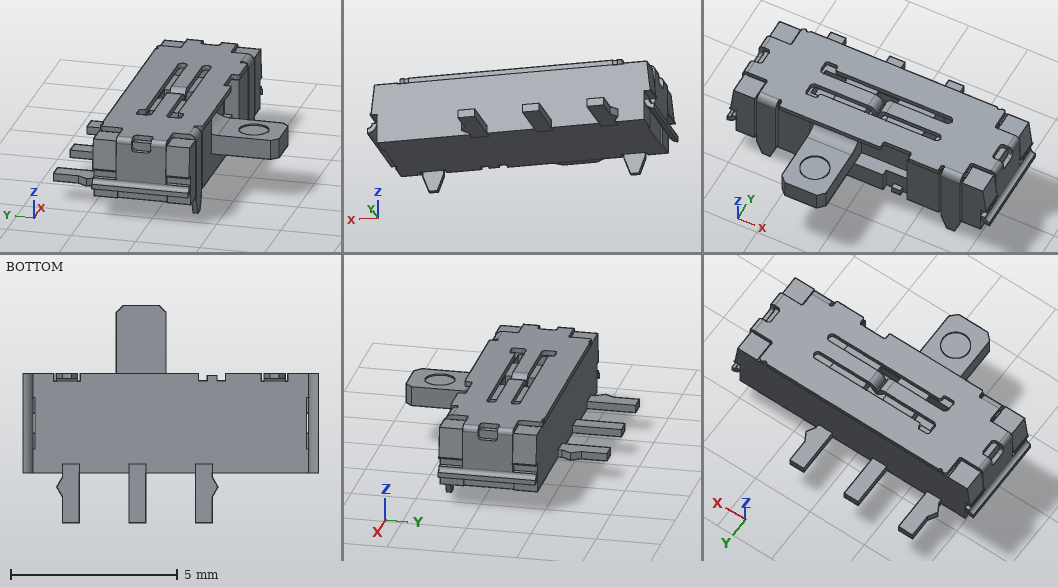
import cadquery as cq
import math


half_length = 4.45
half_depth = 3.0 / 2
cover_top = 1.99
sheet = 0.15
housing_top = cover_top - sheet

end_inner_x = half_length - 2 * sheet
end_outer_x = end_inner_x + sheet
arm_half_y = 0.77
plate_half_x = 3.45
plate_outer_radius = 0.09
plate_inner_radius = 0.06
foot_top = 0.64
end_bend_radius = 0.17
relief_x = 3.24
relief_radius = 0.08
relief_offset = 0.03

end_window_width = 0.6
end_window_x = 3.91
end_window_bottom = 1.6
end_window_radius = 0.11

leg_width = 0.65
leg_x = plate_half_x - leg_width / 2
leg_bend_radius = 0.23
leg_bottom = -0.605
leg_taper_top = -0.11
leg_tip_width = 0.27
leg_relief = 0.1
notch_depth = 0.24
notch_radius = 0.05

slot_inner_y = 0.24
slot_outer_y = 0.51
slot_radius = (slot_outer_y - slot_inner_y) / 2
slot_left_x = -2.225
slot_right_x = 2.21
hook_right_x = -1.825
hook_outer_y = 0.69
hook_radius = 0.07
detent_left_x = -0.32
detent_right_x = 0.29
detent_radius = 0.28

body_half_x = end_inner_x
end_recess_x = 4.09
pad_top = 1.87
pad_bottom = 0.92
pad_inner_x = 3.515
pad_top_x = 4.23
pad_bottom_x = 4.33
pad_lip = 0.03
cavity_half_y = 1.04
cavity_floor = 0.7
opening_half_x = 1.65
leg_recess_width = 0.78

gate_left_x = 0.84
gate_depth = 0.21
cover_notch_left_x = 0.75
cover_notch_right_x = 1.68
stub_x = 1.25
stub_width = 0.3
stub_height = 0.21
stub_length = 0.16

slider_x = -0.89
slider_half_x = 2.48
slider_half_y = 1.02
slider_top = 1.83
lever_width = 1.5
lever_top = 1.32
lever_tip_y = -3.55
lever_chamfer = 0.21
lever_fillet = 0.67
dimple_y = -2.625
dimple_radius = 0.45
dimple_depth = 0.045
pocket_pitch = 1.78
pocket_length = 0.71
pocket_half_y = 0.48
pocket_depth = 0.36

terminal_pitch = 2.0
first_terminal_x = -3.01
terminal_width = 0.52
terminal_thickness = 0.24
terminal_tip_y = 3.0
terminal_seat = 0.27
barb_height = 0.17
barb_centre = 0.42
barb_half_length = 0.29


def block(x0, x1, y0, y1, z0, z1):
    """Box between two corners."""
    return cq.Workplane("XY").box(x1 - x0, y1 - y0, z1 - z0, centered=False).translate((x0, y0, z0))


def xz_profile(points, y0, y1):
    """Closed XZ polygon extruded from y0 to y1."""
    return cq.Workplane("XZ", origin=(0, y1, 0)).polyline(points).close().extrude(y1 - y0)


def both_ends(shape):
    """The shape joined with its mirror image at the other X end."""
    return shape.union(shape.mirror("YZ"))


def make_terminal(x, barb_side):
    """Flat terminal, with a barb on one side when barb_side is -1 or +1."""
    blade = block(
        x - terminal_width / 2, x + terminal_width / 2,
        half_depth - terminal_seat, terminal_tip_y,
        0, terminal_thickness,
    )
    if barb_side:
        edge_x = x + barb_side * terminal_width / 2
        barb_y = half_depth + barb_centre
        barb = (
            cq.Workplane("XY")
            .polyline([
                (edge_x, barb_y - barb_half_length),
                (edge_x + barb_side * barb_height, barb_y),
                (edge_x, barb_y + barb_half_length),
            ])
            .close()
            .extrude(terminal_thickness)
        )
        blade = blade.union(barb)
    return blade


def corner_pads():
    """Raised corner blocks whose end faces flare outward down to a small lip."""
    outline = [
        (pad_inner_x, pad_bottom),
        (pad_bottom_x + pad_lip, pad_bottom),
        (pad_bottom_x + pad_lip, pad_bottom + pad_lip),
        (pad_bottom_x, pad_bottom + pad_lip),
        (pad_top_x, pad_top),
        (pad_inner_x, pad_top),
    ]
    front = xz_profile(outline, -half_depth, -arm_half_y)
    return both_ends(front.union(front.mirror("XZ")))


def make_housing(terminals):
    body = block(-body_half_x, body_half_x, -half_depth, half_depth, 0, housing_top)
    body = body.union(corner_pads())

    body = body.cut(
        block(-pad_inner_x, pad_inner_x, -cavity_half_y, cavity_half_y, cavity_floor, pad_top)
    )
    body = body.cut(
        block(-opening_half_x, opening_half_x, -half_depth, 0, cavity_floor, pad_top)
    )

    end_recess = block(end_recess_x, half_length, -arm_half_y, arm_half_y, 0, pad_top)
    leg_recess = block(
        pad_inner_x - leg_recess_width, pad_inner_x,
        -half_depth, -half_depth + leg_bend_radius, 0, pad_top,
    )
    body = body.cut(both_ends(end_recess)).cut(both_ends(leg_recess))

    gate_wall_y = -half_depth + gate_depth
    body = body.cut(
        block(gate_left_x, opening_half_x, -half_depth, gate_wall_y, 0, cavity_floor)
    )
    body = body.union(
        block(
            stub_x - stub_width / 2, stub_x + stub_width / 2,
            gate_wall_y - stub_length, gate_wall_y, 0, stub_height,
        )
    )

    for terminal in terminals:
        body = body.cut(terminal)
    return body


def end_foot():
    """Full-depth foot at the +X end, curling outward through a quarter turn."""
    return (
        cq.Workplane("XZ", origin=(0, half_depth, 0))
        .moveTo(half_length, foot_top - sheet)
        .radiusArc((end_outer_x, foot_top), sheet)
        .lineTo(end_inner_x, foot_top)
        .radiusArc((half_length, foot_top - 2 * sheet), -2 * sheet)
        .close()
        .extrude(2 * half_depth)
    )


def end_window():
    """Cutter for the window that runs from the plate over the +X bend into the flap."""
    through_plate = block(
        end_window_x, half_length, -end_window_width / 2, end_window_width / 2,
        housing_top, cover_top,
    ).edges("|Z and <X").fillet(end_window_radius)
    through_flap = block(
        end_recess_x, half_length, -end_window_width / 2, end_window_width / 2,
        end_window_bottom, cover_top,
    ).edges("|X and <Z").fillet(end_window_radius)
    return through_plate.union(through_flap)


def leg():
    """Leg at the +X end: bent down over the -Y edge, with a tapered tip."""
    front_y = -half_depth
    bend_y = front_y + leg_bend_radius
    bend_z = cover_top - leg_bend_radius
    inner_radius = leg_bend_radius - sheet
    strip = (
        cq.Workplane("YZ", origin=(leg_x - leg_width / 2, 0, 0))
        .moveTo(front_y + notch_depth, cover_top)
        .lineTo(bend_y, cover_top)
        .radiusArc((front_y, bend_z), -leg_bend_radius)
        .lineTo(front_y, leg_bottom)
        .lineTo(front_y + sheet, leg_bottom)
        .lineTo(front_y + sheet, bend_z)
        .radiusArc((bend_y, housing_top), inner_radius)
        .lineTo(front_y + notch_depth, housing_top)
        .close()
        .extrude(leg_width)
    )
    outline = [
        (leg_x - leg_width / 2, cover_top),
        (leg_x - leg_width / 2, leg_taper_top),
        (leg_x - leg_tip_width / 2, leg_bottom),
        (leg_x + leg_tip_width / 2, leg_bottom),
        (leg_x + leg_width / 2, leg_taper_top),
        (leg_x + leg_width / 2, cover_top),
    ]
    return strip.intersect(xz_profile(outline, front_y, 0))


def round_notch_side(cover, x):
    """The cover with both corners of the notch side at x rounded."""
    side = cq.selectors.BoxSelector(
        (x - notch_radius, -half_depth - notch_radius, housing_top),
        (x + notch_radius, -half_depth + notch_depth + notch_radius, cover_top),
    )
    return cover.edges("|Z").edges(side).fillet(notch_radius)


def hooked_slot():
    """Cutter for the slot on the +Y side of the spring: round right end, hooked left end."""
    slot = (
        cq.Workplane("XY", origin=(0, 0, housing_top))
        .moveTo(slot_left_x, slot_inner_y)
        .lineTo(slot_right_x - slot_radius, slot_inner_y)
        .radiusArc((slot_right_x - slot_radius, slot_outer_y), -slot_radius)
        .lineTo(hook_right_x, slot_outer_y)
        .lineTo(hook_right_x, hook_outer_y)
        .lineTo(slot_left_x, hook_outer_y)
        .close()
        .extrude(sheet)
    )
    slot = slot.edges("|Z and <X and <Y").fillet(slot_radius)
    hook_corners = cq.selectors.BoxSelector(
        (slot_left_x - hook_radius, slot_outer_y - hook_radius, housing_top),
        (hook_right_x + hook_radius, hook_outer_y + hook_radius, cover_top),
    )
    return slot.edges("|Z").edges(hook_corners).fillet(hook_radius)


def detent():
    """Dip of the spring strip: two convex bends that meet in a narrow valley."""
    inner_radius = detent_radius - sheet
    valley_z = cover_top - detent_radius
    return (
        cq.Workplane("XZ", origin=(0, slot_inner_y, 0))
        .moveTo(detent_left_x, cover_top)
        .radiusArc((detent_left_x + detent_radius, valley_z), detent_radius)
        .lineTo(detent_right_x - detent_radius, valley_z)
        .radiusArc((detent_right_x, cover_top), detent_radius)
        .lineTo(detent_right_x, housing_top)
        .radiusArc((detent_right_x - inner_radius, valley_z), -inner_radius)
        .lineTo(detent_right_x - detent_radius, valley_z - sheet)
        .lineTo(detent_left_x + detent_radius, valley_z - sheet)
        .lineTo(detent_left_x + inner_radius, valley_z)
        .radiusArc((detent_left_x, housing_top), -inner_radius)
        .close()
        .extrude(2 * slot_inner_y)
    )


def make_cover():
    plate = block(-plate_half_x, plate_half_x, -half_depth, half_depth, housing_top, cover_top)
    arms = block(-end_outer_x, end_outer_x, -arm_half_y, arm_half_y, foot_top, cover_top)
    arms = arms.edges("|Y and >Z").fillet(end_bend_radius)
    arms = arms.cut(
        block(-end_inner_x, end_inner_x, -arm_half_y, arm_half_y, foot_top, housing_top)
    )
    cover = plate.union(arms)

    inner_corners = cq.selectors.BoxSelector(
        (-plate_half_x - sheet, -arm_half_y - sheet, housing_top),
        (plate_half_x + sheet, arm_half_y + sheet, cover_top),
    )
    cover = cover.edges("|Z").edges(inner_corners).fillet(plate_inner_radius)
    cover = cover.edges("|Z and >Y").fillet(plate_outer_radius)

    relief_y = half_depth + relief_offset
    reliefs = (
        cq.Workplane("XY", origin=(0, 0, housing_top))
        .pushPoints([(-relief_x, relief_y), (relief_x, relief_y)])
        .circle(relief_radius)
        .extrude(sheet)
    )
    cover = cover.cut(reliefs)

    cover = cover.union(both_ends(end_foot()))
    cover = cover.cut(both_ends(end_window()))

    leg_notch_x = plate_half_x - leg_width - leg_relief
    leg_notch = block(
        leg_notch_x, plate_half_x,
        -half_depth, -half_depth + notch_depth, housing_top, cover_top,
    )
    gate_notch = block(
        cover_notch_left_x, cover_notch_right_x,
        -half_depth, -half_depth + notch_depth, housing_top, cover_top,
    )
    cover = cover.cut(both_ends(leg_notch)).cut(gate_notch)
    for x in (-leg_notch_x, cover_notch_left_x, cover_notch_right_x, leg_notch_x):
        cover = round_notch_side(cover, x)
    cover = cover.union(both_ends(leg()))

    slot = hooked_slot()
    cover = cover.cut(slot).cut(slot.mirror("XZ"))
    cover = cover.cut(
        block(detent_left_x, detent_right_x, -slot_inner_y, slot_inner_y, housing_top, cover_top)
    )
    return cover.union(detent())


def make_slider():
    body = block(
        slider_x - slider_half_x, slider_x + slider_half_x,
        -slider_half_y, slider_half_y, cavity_floor, slider_top,
    )

    lever_left = slider_x - lever_width / 2
    lever = block(
        lever_left, lever_left + lever_width, lever_tip_y, -slider_half_y, cavity_floor, lever_top
    ).edges("|Z and <Y").chamfer(lever_chamfer)

    centre_y = -slider_half_y - lever_fillet
    centre_z = lever_top + lever_fillet
    blend_top_y = centre_y + math.sqrt(lever_fillet**2 - (centre_z - slider_top) ** 2)
    blend = (
        cq.Workplane("YZ", origin=(lever_left, 0, 0))
        .moveTo(centre_y, lever_top)
        .radiusArc((blend_top_y, slider_top), -lever_fillet)
        .lineTo(-slider_half_y, slider_top)
        .lineTo(-slider_half_y, lever_top)
        .close()
        .extrude(lever_width)
    )
    body = body.union(lever).union(blend)

    dimple = (
        cq.Workplane("XY", origin=(slider_x, dimple_y, lever_top - dimple_depth))
        .circle(dimple_radius)
        .extrude(dimple_depth)
    )
    body = body.cut(dimple)

    for side in (-1, 1):
        pocket_x = slider_x + side * pocket_pitch / 2
        body = body.cut(
            block(
                pocket_x - pocket_length / 2, pocket_x + pocket_length / 2,
                -pocket_half_y, pocket_half_y, slider_top - pocket_depth, slider_top,
            )
        )
    return body


terminals = []
for index, barb_side in enumerate((-1, 0, 1)):
    terminals.append(make_terminal(first_terminal_x + index * terminal_pitch, barb_side))

housing = make_housing(terminals)
cover = make_cover()
slider = make_slider()

result = cq.Compound.makeCompound(
    [housing.val(), cover.val(), slider.val(), *[terminal.val() for terminal in terminals]]
)